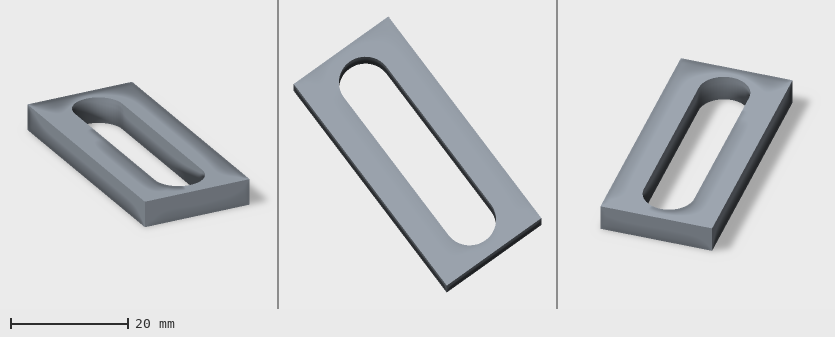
import cadquery as cq

plate_length = 44.0
plate_width = 20.0
plate_thickness = 4.8

slot_length = 39.0
slot_width = 9.0

plate = cq.Workplane("XY").box(plate_length, plate_width, plate_thickness)

result = plate.faces(">Z").workplane().slot2D(slot_length, slot_width).cutThruAll()